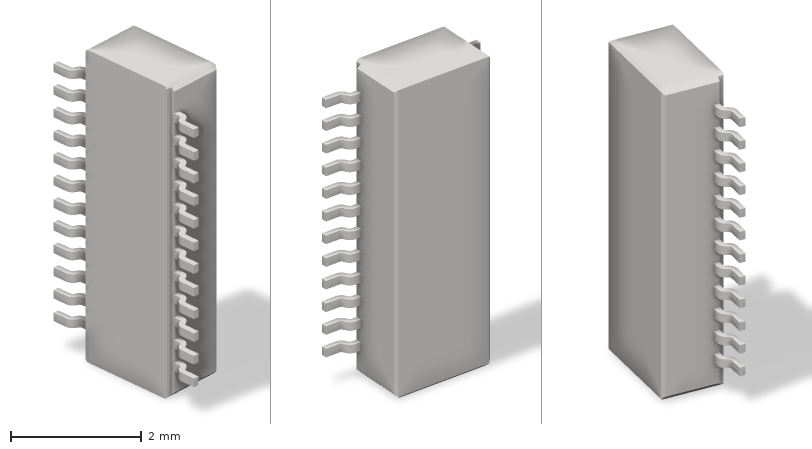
import cadquery as cq
import math

span_over_pins = 2.966
overall_depth = 1.14
housing_height = 5.52

housing_width = 1.84
base_width = 1.72
base_clearance = 0.05
base_depth = 0.10
corner_chamfer = 0.10
back_chamfer = 0.05
step_y = base_clearance + base_depth

pins_per_side = 12
pin_pitch = 0.40
pin_width = 0.15
pin_thickness = 0.10
pin_inner_radius = 0.05
pin_outer_radius = pin_inner_radius + pin_thickness
pin_rise = step_y
bend_angle = math.radians(63)
pin_embed = 0.15
shoulder_end_x = 1.025


def block(width, y_front, y_back):
    """Box centred on X and Z between two Y planes."""
    depth = y_back - y_front
    return cq.Workplane("XY").box(width, depth, housing_height).translate((0, y_front + depth / 2, 0))


def make_housing():
    """Housing with chamfered back edges and corners, and long sides stepped in at the base."""
    envelope = block(housing_width, base_clearance, overall_depth)
    back_chamfered = envelope.faces(">Y").edges().chamfer(back_chamfer)
    corner_chamfered = envelope.edges("|Y").chamfer(corner_chamfer)
    base_layer = block(housing_width, base_clearance, step_y)
    base_strips = base_layer.cut(block(base_width, base_clearance, step_y))
    return back_chamfered.intersect(corner_chamfered).cut(base_strips)


def make_pin():
    """One pin on the +X side: shoulder and flat foot joined by two bends and a straight slope."""
    tip_x = span_over_pins / 2
    root_x = housing_width / 2 - pin_embed

    bend_radii = pin_inner_radius + pin_outer_radius
    slope_rise = pin_rise - bend_radii * (1 - math.cos(bend_angle))
    slope_run = slope_rise / math.tan(bend_angle)
    foot_start_x = shoulder_end_x + bend_radii * math.sin(bend_angle) + slope_run
    shoulder_centre_y = pin_rise - pin_inner_radius
    foot_centre_y = pin_outer_radius

    def on_shoulder_bend(radius, angle):
        return (shoulder_end_x + radius * math.sin(angle), shoulder_centre_y + radius * math.cos(angle))

    def on_foot_bend(radius, angle):
        return (foot_start_x - radius * math.sin(angle), foot_centre_y - radius * math.cos(angle))

    half_angle = bend_angle / 2
    profile = (
        cq.Workplane("XY")
        .moveTo(root_x, pin_rise)
        .lineTo(shoulder_end_x, pin_rise)
        .threePointArc(
            on_shoulder_bend(pin_inner_radius, half_angle),
            on_shoulder_bend(pin_inner_radius, bend_angle),
        )
        .lineTo(*on_foot_bend(pin_outer_radius, bend_angle))
        .threePointArc(on_foot_bend(pin_outer_radius, half_angle), (foot_start_x, 0))
        .lineTo(tip_x, 0)
        .lineTo(tip_x, pin_thickness)
        .lineTo(foot_start_x, pin_thickness)
        .threePointArc(
            on_foot_bend(pin_inner_radius, half_angle),
            on_foot_bend(pin_inner_radius, bend_angle),
        )
        .lineTo(*on_shoulder_bend(pin_outer_radius, bend_angle))
        .threePointArc(
            on_shoulder_bend(pin_outer_radius, half_angle),
            (shoulder_end_x, pin_rise + pin_thickness),
        )
        .lineTo(root_x, pin_rise + pin_thickness)
        .close()
    )
    return profile.extrude(pin_width / 2, both=True)


def add_pins(housing):
    right_pin = make_pin()
    left_pin = right_pin.mirror("YZ")
    first_pin_z = -pin_pitch * (pins_per_side - 1) / 2
    for index in range(pins_per_side):
        pin_position = (0, 0, first_pin_z + index * pin_pitch)
        housing = housing.union(right_pin.translate(pin_position))
        housing = housing.union(left_pin.translate(pin_position))
    return housing


result = add_pins(make_housing())